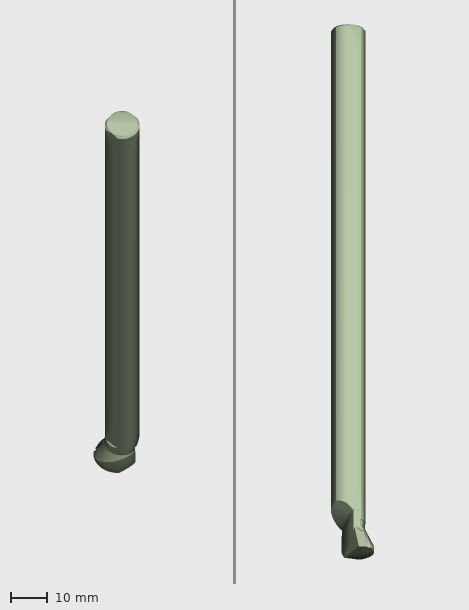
import cadquery as cq
import math


total_length = 153.6
overall_reach = 13.2
overall_width = 10.8
shank_radius = 4.8
flat_distance = 4.3
end_chamfer = 0.6
shank_bottom = 9.7
flat_bottom = 11.2
side_flat_bottom = 12.1
flat_step = 0.08
head_flat_distance = flat_distance - flat_step

neck_radius = 4.6
flare_top = 7.8
flare_bottom_radius = 8.5
head_radius = 6.6
head_center_x = shank_radius - head_radius
head_center_y = head_radius + flat_distance - overall_width
head_bottom = 0.6
heel_chamfer = 1.8
flank_top = 6.5
rake_y = 0.08

relief_slope = 0.85
relief_height_left = 12.3
relief_height_right = 9.0

tip_x = shank_radius - overall_reach
insert_edge = 7.7
insert_thickness = 2.8
edge_tilt = 3.0
clearance_angle = 11.0
head_setback = 0.9

margin = 7.7
flank_angle = math.radians(60.0 + edge_tilt)


def block(x_range, y_range, z_range):
    """Box between the given limits."""
    lows, highs = zip(x_range, y_range, z_range)
    sizes = [high - low for low, high in zip(lows, highs)]
    return cq.Workplane("XY").box(*sizes, centered=False).translate(lows)


def flat_cutter(distance, bottom, top):
    """Prism beyond +X = distance, with a 45 degree runout at its lower end."""
    outline = [
        (distance, bottom),
        (distance, top),
        (distance + margin, top),
        (distance + margin, bottom - margin),
    ]
    return cq.Workplane("XZ").polyline(outline).close().extrude(margin, both=True)


def make_shank():
    length = total_length - shank_bottom
    shank = (
        cq.Workplane("XY")
        .workplane(offset=shank_bottom)
        .circle(shank_radius)
        .extrude(length)
        .faces(">Z")
        .chamfer(end_chamfer)
    )
    flats = [(90, flat_bottom), (180, side_flat_bottom), (270, flat_bottom)]
    for angle, bottom in flats:
        cutter = flat_cutter(flat_distance, bottom, total_length + margin)
        shank = shank.cut(cutter.rotate((0, 0, 0), (0, 0, 1), angle))
    return shank


def make_head():
    """Neck and cone about the shank axis, bounded below by an offset cylinder."""
    neck = (
        cq.Workplane("XY")
        .workplane(offset=flare_top)
        .circle(neck_radius)
        .extrude(shank_bottom - flare_top)
    )
    cone = cq.Workplane(
        cq.Solid.makeCone(flare_bottom_radius, neck_radius, flare_top)
    )
    bound = (
        cq.Workplane("XY")
        .workplane(offset=head_bottom)
        .center(head_center_x, head_center_y)
        .circle(head_radius)
        .extrude(flare_top - head_bottom)
    )
    return neck.union(cone.intersect(bound))


def relief_cutter():
    """Wedge above the rake plane whose sloped top also falls toward +X."""
    def section(x, height):
        outer_y = rake_y + margin
        outer_height = height + relief_slope * margin
        points = [(rake_y, -margin), (outer_y, -margin), (outer_y, outer_height), (rake_y, height)]
        return cq.Wire.makePolygon([cq.Vector(x, y, z) for y, z in points], close=True)

    fall = (relief_height_left - relief_height_right) / (2 * shank_radius)
    left = -shank_radius - margin
    right = shank_radius + margin
    left_height = relief_height_left + fall * margin
    right_height = relief_height_right - fall * margin
    wedge = cq.Solid.makeLoft([section(left, left_height), section(right, right_height)], True)
    return cq.Workplane(wedge)


def flank_cutter():
    """Half space left of the head flank, which is parallel to the insert edge."""
    flank_x = tip_x + head_setback / math.sin(flank_angle)
    top_x = flank_x + flank_top / math.tan(flank_angle)
    outline = [(flank_x, 0), (top_x, flank_top), (flank_x - margin, flank_top), (flank_x - margin, 0)]
    return cq.Workplane("XZ").polyline(outline).close().extrude(2 * margin, both=True)


def heel_cutter():
    """45 degree chamfer under the +X side of the head."""
    outline = [
        (shank_radius - heel_chamfer, head_bottom),
        (shank_radius, head_bottom + heel_chamfer),
        (shank_radius, head_bottom),
    ]
    return cq.Workplane("XZ").polyline(outline).close().extrude(2 * margin, both=True)


def make_insert():
    """Equilateral plate with its rake face on the rake plane, tapering toward -Y."""
    corners = [(tip_x, 0)]
    for angle in (math.radians(edge_tilt), flank_angle):
        corners.append((tip_x + insert_edge * math.cos(angle), insert_edge * math.sin(angle)))
    plane = cq.Workplane("XZ", origin=(0, rake_y, 0))
    return plane.polyline(corners).close().extrude(insert_thickness, taper=clearance_angle)


def make_bar(insert):
    bar = make_shank().union(make_head())
    bar = bar.cut(relief_cutter())
    bar = bar.cut(heel_cutter())
    bar = bar.cut(
        block((-2 * margin, -head_flat_distance), (-margin, margin), (flank_top, side_flat_bottom))
    )
    bar = bar.cut(flank_cutter())
    return bar.cut(insert)


insert = make_insert()
bar = make_bar(insert)

result = cq.Compound.makeCompound([bar.solids().val(), insert.solids().val()])